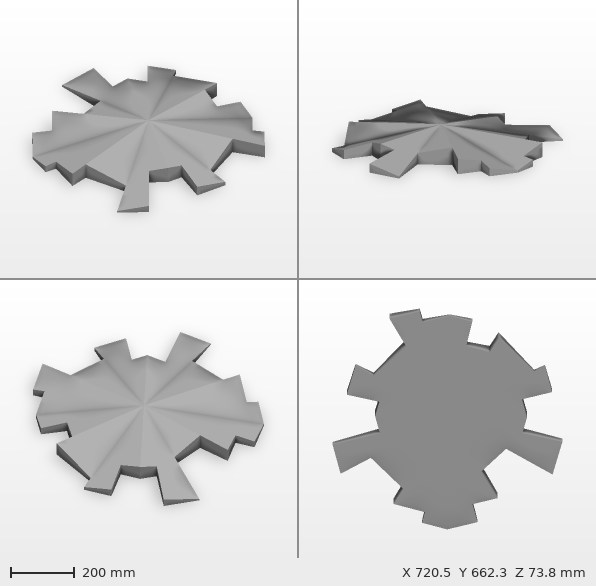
import cadquery as cq
import math

SECTOR_ANGLE = 30.0
QUARTER_ANGLE = 90.0
APEX_HEIGHT = 73.82
LONGEST_REACH = 390.0
LOWEST_TIP_HEIGHT = 5.0
STEEP_SLOPE = (APEX_HEIGHT - LOWEST_TIP_HEIGHT) / LONGEST_REACH
SHALLOW_SLOPE = 0.0736

BLADE_BOUNDS = (0.0, 30.0, 45.0, 72.5, QUARTER_ANGLE)

QUARTER_REACHES = [
    (274.1, 378.8, 339.9, 253.6),
    (309.0, 348.0, 246.7, 380.5),
    (210.6, 313.6, 378.3, 340.1),
    (280.7, LONGEST_REACH, 231.1, 339.97),
]


def fold_point(fold, reach):
    """Point of the roof on a fold line, at a plan distance from the centre."""
    slope = SHALLOW_SLOPE if fold % 2 == 1 else STEEP_SLOPE
    angle = math.radians(fold * SECTOR_ANGLE)
    height = APEX_HEIGHT - slope * reach
    return cq.Vector(reach * math.cos(angle), reach * math.sin(angle), height)


def end_point(sector, angle, reach):
    """Point of the roof where a ray meets the end line across a sector."""
    half = math.radians(SECTOR_ANGLE / 2)
    from_middle = math.radians(angle - sector * SECTOR_ANGLE) - half
    fraction = (1 + math.tan(from_middle) / math.tan(half)) / 2
    first = fold_point(sector, reach)
    second = fold_point(sector + 1, reach)
    return first + (second - first) * fraction


def flat_face(points):
    """Planar face inside a closed polygon."""
    return cq.Face.makeFromWires(cq.Wire.makePolygon(points, close=True))


def wedge(sector, start, end, reach):
    """Solid under one flat piece of the roof, down to the base plane."""
    top = [
        cq.Vector(0, 0, APEX_HEIGHT),
        end_point(sector, start, reach),
        end_point(sector, end, reach),
    ]
    base = [cq.Vector(point.x, point.y, 0) for point in top]
    faces = [flat_face(top), flat_face(base)]
    for i in range(len(top)):
        j = (i + 1) % len(top)
        faces.append(flat_face([base[i], base[j], top[j], top[i]]))
    return cq.Solid.makeSolid(cq.Shell.makeShell(faces))


def blade_wedges(start, end, reach):
    """Wedges of one blade, one for each sector that it covers."""
    first_sector = math.floor(start / SECTOR_ANGLE)
    last_sector = math.ceil(end / SECTOR_ANGLE)
    wedges = []
    for sector in range(first_sector, last_sector):
        sector_start = sector * SECTOR_ANGLE
        wedge_start = max(start, sector_start)
        wedge_end = min(end, sector_start + SECTOR_ANGLE)
        wedges.append(wedge(sector, wedge_start, wedge_end, reach))
    return wedges


def pinwheel():
    """All blades joined into one solid."""
    wedges = []
    for quarter, reaches in enumerate(QUARTER_REACHES):
        turn = quarter * QUARTER_ANGLE
        for i, reach in enumerate(reaches):
            start = turn + BLADE_BOUNDS[i]
            end = turn + BLADE_BOUNDS[i + 1]
            wedges.extend(blade_wedges(start, end, reach))
    return wedges[0].fuse(*wedges[1:]).Solids()[0]


result = cq.Workplane(pinwheel())